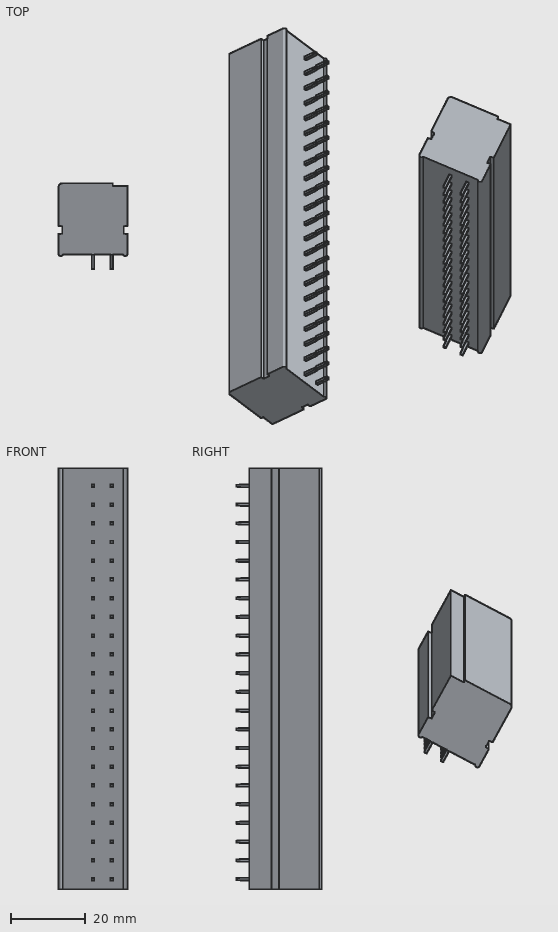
import cadquery as cq
import math

length = 112.5
width = 18.5
body_depth = 19.5
total_depth = 23.0
half_width = width / 2

corner_radius = 1.0
step_width = 3.9
step_depth = 0.7

rail_radius = 0.62
recess_depth = 0.39

groove_depth = 1.0
groove_mouth = 2.1
groove_floor = 1.9
groove_y = 7.0

pin_rows = 22
pin_pitch = length / (pin_rows + 0.5)
pin_size = 0.8
pin_embed = 1.1
tip_length = 1.4
tip_height = 0.6
pin_drop = 1.0
lowest_pin_z = (length - (pin_rows - 1) * pin_pitch) / 2 - pin_drop


def make_housing():
    """Extrude the housing section: recessed front, rails, back step and rounded back corner."""
    rail_x = half_width - rail_radius
    rail_reach = math.sqrt(rail_radius**2 - (rail_radius - recess_depth) ** 2)
    recess_x = rail_x - rail_reach
    step_x = half_width - step_width
    step_y = body_depth - step_depth
    return (
        cq.Workplane("XY")
        .moveTo(-half_width, rail_radius)
        .threePointArc((-rail_x, 0), (-recess_x, recess_depth))
        .lineTo(recess_x, recess_depth)
        .threePointArc((rail_x, 0), (half_width, rail_radius))
        .lineTo(half_width, step_y)
        .lineTo(step_x, step_y)
        .lineTo(step_x, body_depth)
        .lineTo(-half_width + corner_radius, body_depth)
        .radiusArc((-half_width, body_depth - corner_radius), -corner_radius)
        .close()
        .extrude(length)
    )


def make_side_groove(side):
    """Cutter for the groove along one side (side is -1 or +1)."""
    mouth_x = side * half_width
    floor_x = side * (half_width - groove_depth)
    outline = [
        (mouth_x, groove_y - groove_mouth / 2),
        (floor_x, groove_y - groove_floor / 2),
        (floor_x, groove_y + groove_floor / 2),
        (mouth_x, groove_y + groove_mouth / 2),
    ]
    return cq.Workplane("XY").polyline(outline).close().extrude(length)


def make_pin(x, z):
    """Square pin whose top and bottom faces taper towards the tip."""
    tip_y = body_depth - total_depth
    shoulder_y = tip_y + tip_length
    root_y = recess_depth + pin_embed
    half_pin = pin_size / 2
    half_tip = tip_height / 2
    outline = [
        (root_y, z - half_pin),
        (shoulder_y, z - half_pin),
        (tip_y, z - half_tip),
        (tip_y, z + half_tip),
        (shoulder_y, z + half_pin),
        (root_y, z + half_pin),
    ]
    return cq.Workplane("YZ", origin=(x - half_pin, 0, 0)).polyline(outline).close().extrude(pin_size)


result = make_housing()
for side in (-1, 1):
    result = result.cut(make_side_groove(side))
for row in range(pin_rows):
    for column_x in (0, pin_pitch):
        result = result.union(make_pin(column_x, lowest_pin_z + row * pin_pitch))